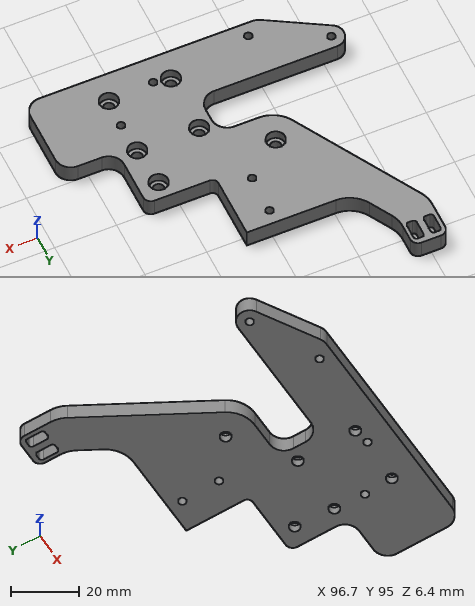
import cadquery as cq
import math

length = 96.7
width = 95.0
thickness = 6.4

arm_left = 2.7
arm_right = 14.0
arm_lean = math.radians(60)
arm_outer_bend_y = 80.7
arm_inner_bend_y = 84.55
arm_bend_radius = 10.0
arm_tip_radius = 2.5

upper_step_x = 56.7
upper_step_y = 70.3
middle_step_x = 79.0
middle_step_y = 48.4
lower_step_y = 27.5
upper_inner_radius = 1.9
middle_corner_radius = 2.5
large_radius = 5.0

notch_top = 33.2
notch_bottom = 18.9
notch_end_x = 48.9

nose_radius = 4.1
nose_y = notch_bottom - nose_radius
finger_slope = math.radians(30)

small_hole_diameter = 2.5
small_hole_points = [
    (47.2, 65.7),
    (46.9, 52.7),
    (73.9, 19.1),
    (58.7, 8.5),
    (26.2, 4.5),
    (nose_radius, nose_y),
]
screw_hole_diameter = 3.5
counterbore_diameter = 6.0
counterbore_depth = thickness / 2
upper_screw_xs = (34.7, 72.6)
upper_screw_y = 42.7
screw_square_x = 53.4
screw_square_y = 9.4
screw_square_pitch = 20.0

slot_xs = (5.7, 11.2)
slot_y = 89.9
slot_length = 6.6
slot_width = 3.2
slot_corner_radius = 1.0


def leaning_x(bend_x, bend_y, y):
    """X of an arm edge at height y, starting from its bend."""
    return bend_x + (bend_y - y) / math.tan(arm_lean)


def make_plate():
    arm_outer_foot = (leaning_x(arm_left, arm_outer_bend_y, notch_top), notch_top)
    arm_inner_foot = (leaning_x(arm_right, arm_inner_bend_y, upper_step_y), upper_step_y)
    nose_tangent_x = nose_radius - nose_radius * math.sin(finger_slope)
    nose_tangent_y = nose_y - nose_radius * math.cos(finger_slope)
    finger_foot = (nose_tangent_x + nose_tangent_y / math.tan(finger_slope), 0)

    plate = (
        cq.Workplane("XY")
        .moveTo(*finger_foot)
        .lineTo(length, 0)
        .lineTo(length, lower_step_y)
        .lineTo(middle_step_x, lower_step_y)
        .lineTo(middle_step_x, middle_step_y)
        .lineTo(upper_step_x, middle_step_y)
        .lineTo(upper_step_x, upper_step_y)
        .lineTo(*arm_inner_foot)
        .lineTo(arm_right, arm_inner_bend_y)
        .lineTo(arm_right, width)
        .lineTo(arm_left, width)
        .lineTo(arm_left, arm_outer_bend_y)
        .lineTo(*arm_outer_foot)
        .lineTo(notch_end_x, notch_top)
        .lineTo(notch_end_x, notch_bottom)
        .lineTo(nose_radius, notch_bottom)
        .threePointArc((0, nose_y), (nose_tangent_x, nose_tangent_y))
        .close()
        .extrude(thickness)
    )

    corner_radii = [
        (arm_bend_radius, [
            arm_inner_foot,
            (arm_right, arm_inner_bend_y),
            (arm_left, arm_outer_bend_y),
            arm_outer_foot,
        ]),
        (arm_tip_radius, [(arm_right, width), (arm_left, width)]),
        (upper_inner_radius, [(upper_step_x, middle_step_y)]),
        (middle_corner_radius, [(middle_step_x, middle_step_y)]),
        (large_radius, [
            finger_foot,
            (length, 0),
            (length, lower_step_y),
            (middle_step_x, lower_step_y),
            (notch_end_x, notch_top),
            (notch_end_x, notch_bottom),
        ]),
    ]
    for radius, corners in corner_radii:
        for x, y in corners:
            corner_edge = cq.selectors.NearestToPointSelector((x, y, thickness / 2))
            plate = plate.edges("|Z").edges(corner_edge).fillet(radius)
    return plate


def cut_holes(plate):
    screw_points = [(x, upper_screw_y) for x in upper_screw_xs]
    for column in range(2):
        for row in range(2):
            x = screw_square_x + column * screw_square_pitch
            y = screw_square_y + row * screw_square_pitch
            screw_points.append((x, y))

    top = plate.faces(">Z").workplane(origin=(0, 0, thickness))
    plate = top.pushPoints(small_hole_points).hole(small_hole_diameter)
    top = plate.faces(">Z").workplane(origin=(0, 0, thickness))
    return top.pushPoints(screw_points).cboreHole(
        screw_hole_diameter, counterbore_diameter, counterbore_depth
    )


def cut_slots(plate):
    slots = (
        cq.Workplane("XY")
        .pushPoints([(x, slot_y) for x in slot_xs])
        .rect(slot_width, slot_length)
        .extrude(thickness)
        .edges("|Z")
        .fillet(slot_corner_radius)
    )
    return plate.cut(slots)


result = cut_slots(cut_holes(make_plate()))